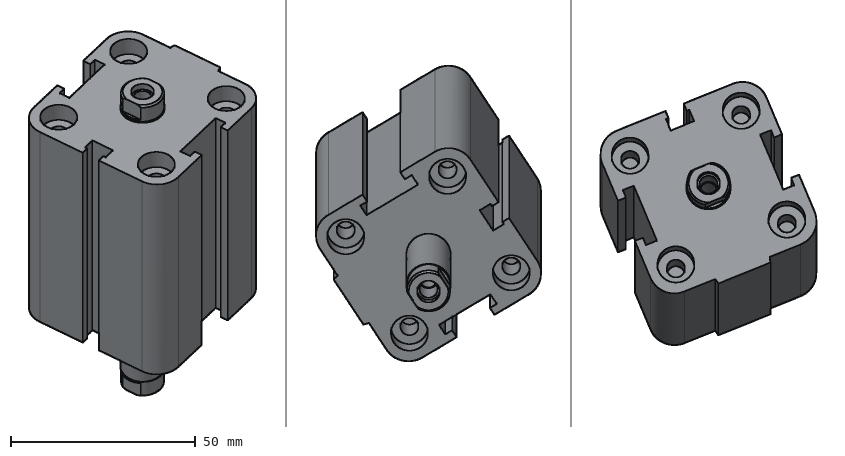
import cadquery as cq

total_length = 106.5
housing_length = 69.5
rod_above_housing = 6.0
rod_below_housing = total_length - housing_length - rod_above_housing
rod_bottom = -rod_below_housing

housing_width = 48.0
half_width = housing_width / 2
housing_depth = 49.5
corner_radius = 7.0
rail_base_width = 16.0
rail_top_width = 15.2
rail_height = housing_depth - housing_width

slot_depth = 5.5
side_slot_mouth = 12.0
side_slot_cavity = 16.4
side_slot_lip = 2.3
front_slot_mouth = 5.3
front_slot_cavity = 6.8
front_slot_lip = 2.1

hole_pitch = 32.5
counterbore_diameter = 10.0
counterbore_depth = 5.5
hole_diameter = 4.9
hole_depth = 14.5

rod_diameter = 12.0
rod_end_diameter = 11.7
rod_end_length = 5.6
rod_end_chamfer = 0.5
flat_spacing = 10.0
flat_length = 5.0
rod_passage_diameter = 4.5
rod_bore_diameter = 4.9
rod_bore_depth = 10.0
rod_socket_diameter = 6.2
rod_socket_depth = 2.0


def rail():
    """Rail with slightly sloped flanks along the middle of the +Y side."""
    top = half_width + rail_height
    return (
        cq.Workplane("XY")
        .moveTo(-rail_base_width / 2, 0)
        .lineTo(-rail_base_width / 2, half_width)
        .lineTo(-rail_top_width / 2, top)
        .lineTo(rail_top_width / 2, top)
        .lineTo(rail_base_width / 2, half_width)
        .lineTo(rail_base_width / 2, 0)
        .close()
        .extrude(housing_length)
    )


def t_slot(mouth, cavity, lip, angle):
    """T-slot cutter for the -Y side, turned about Z by the given angle."""
    cavity_depth = slot_depth - lip
    narrow = (
        cq.Workplane("XY")
        .center(0, -half_width + slot_depth / 2)
        .rect(mouth, slot_depth)
        .extrude(housing_length)
    )
    wide = (
        cq.Workplane("XY")
        .center(0, -half_width + lip + cavity_depth / 2)
        .rect(cavity, cavity_depth)
        .extrude(housing_length)
    )
    return narrow.union(wide).rotate((0, 0, 0), (0, 0, 1), angle)


def drill_mounting_holes(body, face):
    """Counterbored blind holes at the four corners of one end face."""
    return (
        body.faces(face)
        .workplane(origin=(0, 0, 0))
        .rect(hole_pitch, hole_pitch, forConstruction=True)
        .vertices()
        .cboreHole(hole_diameter, counterbore_diameter, counterbore_depth, hole_depth)
    )


def make_housing():
    body = (
        cq.Workplane("XY")
        .rect(housing_width, housing_width)
        .extrude(housing_length)
        .edges("|Z")
        .fillet(corner_radius)
        .union(rail())
    )
    body = body.cut(t_slot(front_slot_mouth, front_slot_cavity, front_slot_lip, 0))
    for angle in (90, -90):
        body = body.cut(t_slot(side_slot_mouth, side_slot_cavity, side_slot_lip, angle))
    for face in (">Z", "<Z"):
        body = drill_mounting_holes(body, face)
    rod_hole = cq.Workplane("XY").circle(rod_diameter / 2).extrude(housing_length)
    return body.cut(rod_hole)


def rod_end():
    """Reduced rod end pointing up from Z = 0, with two wrench flats."""
    end = (
        cq.Workplane("XY")
        .circle(rod_end_diameter / 2)
        .extrude(rod_end_length)
        .faces(">Z")
        .chamfer(rod_end_chamfer)
    )
    between_flats = (
        cq.Workplane("XY", origin=(0, 0, rod_end_length - flat_length))
        .rect(rod_end_diameter, flat_spacing)
        .extrude(flat_length)
    )
    collar = (
        cq.Workplane("XY")
        .circle(rod_end_diameter / 2)
        .extrude(rod_end_length - flat_length)
    )
    return end.intersect(between_flats.union(collar))


def make_rod():
    shank_length = total_length - 2 * rod_end_length
    shank_bottom = rod_bottom + rod_end_length
    shank_top = shank_bottom + shank_length
    upper_end = rod_end().translate((0, 0, shank_top))
    lower_end = rod_end().rotate((0, 0, 0), (1, 0, 0), 180).translate((0, 0, shank_bottom))
    rod = (
        cq.Workplane("XY", origin=(0, 0, shank_bottom))
        .circle(rod_diameter / 2)
        .extrude(shank_length)
        .union(upper_end)
        .union(lower_end)
    )
    rod = rod.faces(">Z").workplane(origin=(0, 0, 0)).hole(rod_passage_diameter)
    for face in (">Z", "<Z"):
        rod = (
            rod.faces(face)
            .workplane(origin=(0, 0, 0))
            .cboreHole(rod_bore_diameter, rod_socket_diameter, rod_socket_depth, rod_bore_depth)
        )
    return rod


housing = make_housing()
piston_rod = make_rod()
result = cq.Compound.makeCompound([housing.val(), piston_rod.val()])